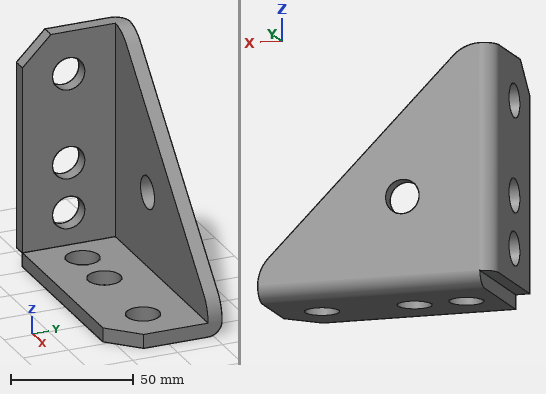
import cadquery as cq
import math

length = 101.6
depth = 47.6

thickness = 6.3
bend_radius = thickness
seam_overlap = 0.2
flange_chamfer = 12.7
gusset_radius = 16.0

hole_diameter = 14.3
flange_hole_places = (20.6, 42.9, 82.6)
flange_hole_y = 20.6
gusset_hole_place = 39.4

flange_start = thickness - seam_overlap


def make_flange_profile():
    """Cross-section of a flange: a rectangle with a quarter-round bend."""
    bend_middle = bend_radius * math.sqrt(0.5)
    return (
        cq.Workplane("YZ", origin=(flange_start, 0, 0))
        .lineTo(depth - bend_radius, 0)
        .threePointArc(
            (depth - bend_radius + bend_middle, bend_radius - bend_middle),
            (depth, bend_radius),
        )
        .lineTo(0, thickness)
        .close()
    )


def make_flange():
    """Horizontal flange with its bend, clipped corner and three holes."""
    flange = make_flange_profile().extrude(length - flange_start)
    clipped_corner = (
        cq.Workplane("XY")
        .moveTo(length, 0)
        .lineTo(length, flange_chamfer)
        .lineTo(length - flange_chamfer, 0)
        .close()
        .extrude(thickness)
    )
    holes = (
        cq.Workplane("XY")
        .pushPoints([(x, flange_hole_y) for x in flange_hole_places])
        .circle(hole_diameter / 2)
        .extrude(thickness)
    )
    return flange.cut(clipped_corner).cut(holes)


def make_upright(flange):
    """Vertical flange: the horizontal one with X and Z swapped."""
    return flange.mirror("XY").rotate((0, 0, 0), (0, 1, 0), -90)


def make_gusset():
    """Triangular back plate with rounded tips and one hole."""
    reach = gusset_radius * math.sqrt(0.5)
    drop = gusset_radius - reach
    half_reach = gusset_radius * math.sin(math.pi / 8)
    half_drop = gusset_radius * (1 - math.cos(math.pi / 8))
    return (
        cq.Workplane("XZ", origin=(0, depth, 0))
        .moveTo(thickness, thickness)
        .lineTo(thickness, length)
        .threePointArc(
            (thickness + half_reach, length - half_drop),
            (thickness + reach, length - drop),
        )
        .lineTo(length - drop, thickness + reach)
        .threePointArc(
            (length - half_drop, thickness + half_reach),
            (length, thickness),
        )
        .close()
        .moveTo(gusset_hole_place, gusset_hole_place)
        .circle(hole_diameter / 2)
        .extrude(thickness)
    )


base = make_flange()
result = base.union(make_upright(base)).union(make_gusset())